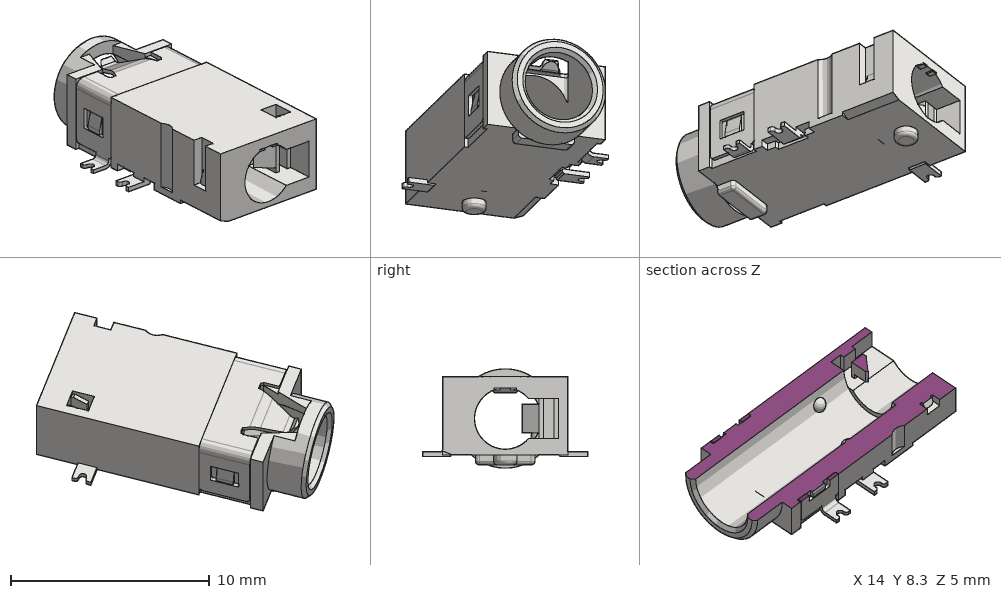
import cadquery as cq
import math


LENGTH = 13.97
WIDTH = 6.3
HALF_WIDTH = WIDTH / 2
TOP = 2.1
BOTTOM = -1.83
FLANGE_FRONT = 2.0
FLANGE_BACK = 2.67
NECK_END = 5.4

BARREL_RADIUS = 2.5
BARREL_CHAMFER = 0.2
BARREL_FLAT_START = 0.9
BORE_RADIUS = 1.8
BORE_END = 11.0
REAR_HOLE_RADIUS = 1.54

SHEET = 0.2
SHELL_FRONT = 2.71
SHELL_CORNER_RADIUS = 0.5
SHELL_SIDE_BOTTOM = -1.4
SHELL_SIDE_CHAMFER = 0.12

V_FRONT_HALF_WIDTH = 0.77
V_BACK_HALF_WIDTH = 1.72
V_BACK = 3.54
V_END = 3.67
V_END_FILLET = 0.12
TONGUE_NOSE = 1.14
TONGUE_NOSE_HALF_WIDTH = 0.42
TONGUE_SHOULDER = 1.4
TONGUE_BACK_HALF_WIDTH = 1.34
TONGUE_BEND = 3.34
TONGUE_BEND_MIDDLE = (3.085, 2.07)
TONGUE_SLOPE_TOP = (2.83, 1.98)
TONGUE_SLOPE_BOTTOM = (1.78, 1.54)
TONGUE_LOWEST = (1.63, 1.5)
TONGUE_CURL_START = (1.48, 1.54)
TONGUE_TIP_TOP = (1.28, 1.79)
TONGUE_TIP_BOTTOM_Z = 1.65
SHELL_NOTCH_HALF_WIDTH = 1.75

WINDOW_X = (3.3, 4.78)
WINDOW_Z = (-0.4, 0.71)
WINDOW_CORNER = 0.06
LATCH_X = (3.59, 4.49)
LATCH_Z = (-0.37, 0.66)
LATCH_EDGE_Z = -0.15
LATCH_HEIGHT = 0.17

LEAD_WIDTH = 1.0
LEAD_TIP = HALF_WIDTH + 1.0
LEAD_BOTTOM = -1.92
LEAD_TOP = -1.67
LEAD_ROOT = 2.7
LEAD_ROOT_CHAMFER = 0.08
LEAD_NOTCH_RADIUS = 0.2
LEAD_NOTCH_DEPTH = 0.42
LEAD_NOTCH_MOUTH = 0.15
SHELL_LEAD_X = 4.73
SIDE_LEAD_X = 7.48
REAR_LEAD_X = 11.28
SHELL_LEAD_BEND = 0.2

LEAD_SLOT_X = (5.91, 8.79)
LEAD_SLOT_TOP = -1.45
LEAD_SLOT_DEPTH = 0.45
LEAD_SLOT_INNER_X = (6.42, 8.24)
LEAD_SLOT_INNER_DEPTH = 0.7
LEAD_STUB_X = (7.18, 7.98)

GROOVE_X = (9.33, 10.22)
GROOVE_DEPTH = 0.17
GROOVE_BOTTOM = -1.45
SIDE_RECESS_X = (11.9, 12.79)
SIDE_RECESS_BOTTOM = -0.4
SIDE_RECESS_DEPTH = 0.51
SIDE_TIP_X = (12.02, 12.65)
SIDE_TIP_TOP = 0.36
SIDE_TIP_BOTTOM = -0.36
SIDE_TIP_HEIGHT = 0.22
SIDE_TIP_CORNER = 0.2
BEVEL_START = 10.84
BEVEL_HEIGHT = 0.19
BEVEL_WIDTH = 0.5

POCKET_HALF_HEIGHT = 1.0
POCKET_OUTER_Y = 2.67
TOP_WINDOW_X = (11.38, 12.53)
TOP_WINDOW_Y = (1.7, POCKET_OUTER_Y)
CONTACT_HALF_HEIGHT = 0.72
CONTACT_FRONT = 11.68
CONTACT_BACK = 12.53
CONTACT_PEAK_X = 12.4
CONTACT_FRONT_TOP = 1.6
CONTACT_PEAK_TOP = 1.9
CONTACT_BACK_TOP = 1.85
CONTACT_THICKNESS = 0.23
CONTACT_CREST_Y = 0.85
CONTACT_CREST_LENGTH = 0.1

DOME_RADIUS = 0.42
DOMES = ((SIDE_LEAD_X, -1.92, -0.37), (9.0, 1.71, -0.93))
REAR_END_X = 14.0
REAR_END_WIDTH = 0.31
REAR_END_HEIGHT = 0.1
REAR_END_Y = 0.41
REAR_END_Z = 1.49
REAR_END_DEPTH = 0.4

PEG_BOTTOM = -2.33
PEG_EDGE = 0.2
FRONT_PEG_FOOT_EDGE = 0.18
FRONT_PEG_END = 3.0
FRONT_PEG_WIDTH = 3.0
REAR_PEG_X = 12.54
REAR_PEG_RADIUS = 0.6


def block(x_range, y_range, z_range):
    """Axis-aligned block between pairs of X, Y and Z limits."""
    size = [high - low for low, high in (x_range, y_range, z_range)]
    corner = (x_range[0], y_range[0], z_range[0])
    return cq.Workplane("XY").box(*size, centered=False).translate(corner)


def rod(radius, start, end):
    """Cylinder about the plug axis."""
    return cq.Workplane("YZ").workplane(offset=start).circle(radius).extrude(end - start)


def wrapped_block(start, end, inset):
    """Block under the shell, rounded on its two upper long edges and set in from the envelope."""
    side = HALF_WIDTH - inset
    solid = block((start, end), (-side, side), (BOTTOM, TOP - inset))
    return solid.edges("|X and >Z").fillet(SHELL_CORNER_RADIUS - inset)


def v_opening(z_low, z_high):
    """Prism of the V that surrounds the spring tongue, with rounded rear corners."""
    v = (
        cq.Workplane("XY").workplane(offset=z_low)
        .moveTo(BARREL_FLAT_START, -V_FRONT_HALF_WIDTH)
        .lineTo(V_BACK, -V_BACK_HALF_WIDTH)
        .lineTo(V_END, -V_BACK_HALF_WIDTH)
        .lineTo(V_END, V_BACK_HALF_WIDTH)
        .lineTo(V_BACK, V_BACK_HALF_WIDTH)
        .lineTo(BARREL_FLAT_START, V_FRONT_HALF_WIDTH)
        .close()
        .extrude(z_high - z_low)
    )
    return v.edges("|Z and >X").fillet(V_END_FILLET)


def lead(x_center, root, bottom, top):
    """Flat lead along -Y with a round-mouthed notch in its tip."""
    strip = block(
        (x_center - LEAD_WIDTH / 2, x_center + LEAD_WIDTH / 2), (-LEAD_TIP, -root), (bottom, top)
    )
    notch_end = -LEAD_TIP + LEAD_NOTCH_DEPTH - LEAD_NOTCH_RADIUS
    notch = block(
        (x_center - LEAD_NOTCH_RADIUS, x_center + LEAD_NOTCH_RADIUS),
        (-LEAD_TIP, notch_end),
        (bottom, top),
    )
    round_end = (
        cq.Workplane("XY").workplane(offset=bottom)
        .center(x_center, notch_end).circle(LEAD_NOTCH_RADIUS).extrude(top - bottom)
    )
    strip = strip.cut(notch).cut(round_end)
    mouth = cq.selectors.BoxSelector(
        (x_center - 2 * LEAD_NOTCH_RADIUS, -LEAD_TIP - LEAD_NOTCH_RADIUS, bottom),
        (x_center + 2 * LEAD_NOTCH_RADIUS, -LEAD_TIP + LEAD_NOTCH_RADIUS, top),
    )
    return strip.edges("|Z").edges(mouth).fillet(LEAD_NOTCH_MOUTH)


def housing_shape():
    barrel = rod(BARREL_RADIUS, 0, FLANGE_FRONT).faces("<X").chamfer(BARREL_CHAMFER)
    barrel = barrel.cut(
        block((BARREL_FLAT_START, FLANGE_FRONT), (-HALF_WIDTH, HALF_WIDTH), (TOP, BARREL_RADIUS))
    )
    flange = block((FLANGE_FRONT, FLANGE_BACK), (-HALF_WIDTH, HALF_WIDTH), (BOTTOM, TOP))
    neck = wrapped_block(FLANGE_BACK, NECK_END, SHEET)
    rear = block((NECK_END, LENGTH), (-HALF_WIDTH, HALF_WIDTH), (BOTTOM, TOP))
    return barrel.union(flange).union(neck).union(rear)


def front_peg():
    peg = block(
        (FLANGE_FRONT, FRONT_PEG_END),
        (-FRONT_PEG_WIDTH / 2, FRONT_PEG_WIDTH / 2),
        (PEG_BOTTOM, BOTTOM),
    )
    peg = peg.edges("|Z and >X").fillet(PEG_EDGE)
    return peg.faces("<Z").edges("not <X").fillet(FRONT_PEG_FOOT_EDGE)


def rear_peg():
    peg = (
        cq.Workplane("XY").workplane(offset=PEG_BOTTOM)
        .center(REAR_PEG_X, 0).circle(REAR_PEG_RADIUS).extrude(BOTTOM - PEG_BOTTOM)
    )
    return peg.faces("<Z").edges().fillet(PEG_EDGE)


def bore():
    mouth = cq.Workplane("YZ").circle(BORE_RADIUS + BARREL_CHAMFER)
    mouth = mouth.workplane(offset=BARREL_CHAMFER).circle(BORE_RADIUS).loft()
    return rod(BORE_RADIUS, 0, BORE_END).union(mouth).union(rod(REAR_HOLE_RADIUS, 0, LENGTH))


def groove():
    """Shallow upright groove of circular section in the -Y wall."""
    chord = GROOVE_X[1] - GROOVE_X[0]
    radius = (chord**2 / 4 + GROOVE_DEPTH**2) / (2 * GROOVE_DEPTH)
    return (
        cq.Workplane("XY").workplane(offset=GROOVE_BOTTOM)
        .center(sum(GROOVE_X) / 2, -HALF_WIDTH + GROOVE_DEPTH - radius)
        .circle(radius).extrude(TOP - GROOVE_BOTTOM)
    )


def lead_slot():
    """Stepped notch over the side lead, leaving a stub that reaches down to the lead."""
    wall = -HALF_WIDTH
    slot = block(LEAD_SLOT_X, (wall, wall + LEAD_SLOT_DEPTH), (BOTTOM, LEAD_SLOT_TOP))
    inner_depth = (wall, wall + LEAD_SLOT_INNER_DEPTH)
    slot = slot.union(block(LEAD_SLOT_INNER_X, inner_depth, (BOTTOM, LEAD_SLOT_TOP)))
    return slot.cut(block(LEAD_STUB_X, inner_depth, (LEAD_TOP, LEAD_SLOT_TOP)))


def side_recess():
    return block(
        SIDE_RECESS_X, (-HALF_WIDTH, -HALF_WIDTH + SIDE_RECESS_DEPTH), (SIDE_RECESS_BOTTOM, TOP)
    )


def side_contact_tip():
    """Sloping contact tip on the back wall of the side recess."""
    wall = -HALF_WIDTH + SIDE_RECESS_DEPTH
    tip = (
        cq.Workplane("YZ").workplane(offset=SIDE_TIP_X[0])
        .moveTo(wall, SIDE_TIP_TOP)
        .lineTo(wall - SIDE_TIP_HEIGHT, SIDE_TIP_BOTTOM)
        .lineTo(wall, SIDE_TIP_BOTTOM)
        .close()
        .extrude(SIDE_TIP_X[1] - SIDE_TIP_X[0])
    )
    outline = block(SIDE_TIP_X, (wall - SIDE_TIP_HEIGHT, wall), (SIDE_TIP_BOTTOM, SIDE_TIP_TOP))
    return tip.intersect(outline.edges("|Y and <Z").fillet(SIDE_TIP_CORNER))


def bottom_bevel():
    """Bevel under the rear of the -Y wall."""
    return (
        cq.Workplane("YZ").workplane(offset=BEVEL_START)
        .moveTo(-HALF_WIDTH, BOTTOM + BEVEL_HEIGHT)
        .lineTo(-HALF_WIDTH, BOTTOM)
        .lineTo(-HALF_WIDTH + BEVEL_WIDTH, BOTTOM)
        .close()
        .extrude(LENGTH - BEVEL_START)
    )


def contact_pocket():
    """Rear pocket for the switch contact, open to the rear and to the top window."""
    pocket = block((BORE_END, LENGTH), (0, POCKET_OUTER_Y), (-POCKET_HALF_HEIGHT, POCKET_HALF_HEIGHT))
    return pocket.union(block(TOP_WINDOW_X, TOP_WINDOW_Y, (0, TOP)))


def contact_leg(y_low):
    """Upright leg of the switch contact, with its top sloping up toward the rear."""
    return (
        cq.Workplane("XZ").workplane(offset=-y_low - CONTACT_THICKNESS)
        .moveTo(CONTACT_FRONT, -POCKET_HALF_HEIGHT)
        .lineTo(CONTACT_FRONT, CONTACT_FRONT_TOP)
        .lineTo(CONTACT_PEAK_X, CONTACT_PEAK_TOP)
        .lineTo(CONTACT_BACK, CONTACT_BACK_TOP)
        .lineTo(CONTACT_BACK, -POCKET_HALF_HEIGHT)
        .close()
        .extrude(CONTACT_THICKNESS)
    )


def switch_contact():
    """Two legs standing on the pocket floor, and a wedge on the inner leg that reaches into the bore."""
    inner_y, outer_y = TOP_WINDOW_Y
    wedge = (
        cq.Workplane("XY").workplane(offset=-CONTACT_HALF_HEIGHT)
        .moveTo(CONTACT_BACK, inner_y)
        .lineTo(CONTACT_FRONT + CONTACT_CREST_LENGTH, CONTACT_CREST_Y)
        .lineTo(CONTACT_FRONT, CONTACT_CREST_Y + CONTACT_CREST_LENGTH)
        .lineTo(CONTACT_FRONT, inner_y)
        .close()
        .extrude(2 * CONTACT_HALF_HEIGHT)
    )
    legs = contact_leg(inner_y).union(contact_leg(outer_y - CONTACT_THICKNESS))
    return legs.union(wedge)


def side_window(inner, outer):
    """Rounded window block on the -Y side between two distances from the plug axis."""
    return block(WINDOW_X, (-outer, -inner), WINDOW_Z).edges("|Y").fillet(WINDOW_CORNER)


def latch():
    """Ramped catch on the -Y side of the neck that snaps into the shell window."""
    wall = -HALF_WIDTH + SHEET
    return (
        cq.Workplane("YZ").workplane(offset=LATCH_X[0])
        .moveTo(wall, LATCH_Z[1])
        .lineTo(wall - LATCH_HEIGHT, LATCH_EDGE_Z)
        .lineTo(wall - LATCH_HEIGHT, LATCH_Z[0])
        .lineTo(wall, LATCH_Z[0])
        .close()
        .extrude(LATCH_X[1] - LATCH_X[0])
    )


def make_housing():
    housing = housing_shape().union(front_peg()).union(rear_peg())
    housing = housing.cut(bore()).cut(v_opening(0, BARREL_RADIUS))
    for recess in (groove(), lead_slot(), side_recess(), bottom_bevel(), contact_pocket()):
        housing = housing.cut(recess)

    side_lead = lead(SIDE_LEAD_X, LEAD_ROOT, LEAD_BOTTOM, LEAD_TOP)
    rear_lead = lead(REAR_LEAD_X, LEAD_ROOT, LEAD_BOTTOM, LEAD_TOP).mirror("XZ")
    housing = housing.union(side_lead.faces(">Y").edges("<Z").chamfer(LEAD_ROOT_CHAMFER))
    housing = housing.union(rear_lead.faces("<Y").edges("<Z").chamfer(LEAD_ROOT_CHAMFER))
    housing = housing.union(side_contact_tip()).union(switch_contact())
    housing = housing.union(latch()).union(latch().mirror("XZ"))

    for dome in DOMES:
        housing = housing.union(cq.Workplane("XY").sphere(DOME_RADIUS).translate(dome))
    for y in (-REAR_END_Y, REAR_END_Y):
        housing = housing.union(
            block(
                (REAR_END_X - REAR_END_DEPTH, REAR_END_X),
                (y - REAR_END_WIDTH / 2, y + REAR_END_WIDTH / 2),
                (REAR_END_Z - REAR_END_HEIGHT / 2, REAR_END_Z + REAR_END_HEIGHT / 2),
            )
        )
    return housing


def tongue():
    """Spring tongue of the shell, bent down into the bore with its nose curled up."""
    slope_run = TONGUE_SLOPE_TOP[0] - TONGUE_SLOPE_BOTTOM[0]
    drop = SHEET * math.hypot(slope_run, TONGUE_SLOPE_TOP[1] - TONGUE_SLOPE_BOTTOM[1]) / slope_run

    def below(point):
        return point[0], point[1] - drop

    strip = (
        cq.Workplane("XZ").workplane(offset=-V_BACK_HALF_WIDTH)
        .moveTo(V_END, TOP)
        .lineTo(TONGUE_BEND, TOP)
        .threePointArc(TONGUE_BEND_MIDDLE, TONGUE_SLOPE_TOP)
        .lineTo(*TONGUE_SLOPE_BOTTOM)
        .threePointArc(TONGUE_LOWEST, TONGUE_CURL_START)
        .lineTo(*TONGUE_TIP_TOP)
        .lineTo(TONGUE_NOSE, TONGUE_TIP_BOTTOM_Z)
        .lineTo(*below(TONGUE_CURL_START))
        .threePointArc(below(TONGUE_LOWEST), below(TONGUE_SLOPE_BOTTOM))
        .lineTo(*below(TONGUE_SLOPE_TOP))
        .threePointArc((TONGUE_BEND_MIDDLE[0], TONGUE_BEND_MIDDLE[1] - SHEET), (TONGUE_BEND, TOP - SHEET))
        .lineTo(V_END, TOP - SHEET)
        .close()
        .extrude(2 * V_BACK_HALF_WIDTH)
    )
    outline = (
        cq.Workplane("XY")
        .moveTo(V_END, -TONGUE_BACK_HALF_WIDTH)
        .lineTo(TONGUE_SHOULDER, -TONGUE_NOSE_HALF_WIDTH)
        .threePointArc((TONGUE_NOSE, 0), (TONGUE_SHOULDER, TONGUE_NOSE_HALF_WIDTH))
        .lineTo(V_END, TONGUE_BACK_HALF_WIDTH)
        .close()
        .extrude(BARREL_RADIUS)
    )
    return strip.intersect(outline)


def shell_lead():
    """Lead of the shell with the bend that carries it down from the side plate."""
    bend_center_y = -HALF_WIDTH - SHELL_LEAD_BEND
    bend_center_z = LEAD_BOTTOM + SHEET + SHELL_LEAD_BEND
    half = math.sqrt(0.5)
    outer = SHELL_LEAD_BEND + SHEET
    bend = (
        cq.Workplane("YZ").workplane(offset=SHELL_LEAD_X - LEAD_WIDTH / 2)
        .moveTo(-HALF_WIDTH, SHELL_SIDE_BOTTOM)
        .lineTo(-HALF_WIDTH, bend_center_z)
        .threePointArc(
            (bend_center_y + SHELL_LEAD_BEND * half, bend_center_z - SHELL_LEAD_BEND * half),
            (bend_center_y, LEAD_BOTTOM + SHEET),
        )
        .lineTo(bend_center_y, LEAD_BOTTOM)
        .threePointArc(
            (bend_center_y + outer * half, bend_center_z - outer * half),
            (-HALF_WIDTH + SHEET, bend_center_z),
        )
        .lineTo(-HALF_WIDTH + SHEET, SHELL_SIDE_BOTTOM)
        .close()
        .extrude(LEAD_WIDTH)
    )
    flat = lead(SHELL_LEAD_X, -bend_center_y, LEAD_BOTTOM, LEAD_BOTTOM + SHEET)
    return bend.union(flat)


def make_shell():
    shell = wrapped_block(SHELL_FRONT, NECK_END, 0).cut(wrapped_block(SHELL_FRONT, NECK_END, SHEET))
    side_outline = block(
        (SHELL_FRONT, NECK_END), (-HALF_WIDTH, HALF_WIDTH), (SHELL_SIDE_BOTTOM, TOP)
    )
    shell = shell.intersect(side_outline.edges("|Y and <Z").chamfer(SHELL_SIDE_CHAMFER))

    window = side_window(HALF_WIDTH - SHEET, HALF_WIDTH)
    shell = shell.cut(window).cut(window.mirror("XZ"))
    front_notch = block(
        (SHELL_FRONT, V_BACK),
        (-SHELL_NOTCH_HALF_WIDTH, SHELL_NOTCH_HALF_WIDTH),
        (TOP - SHEET, TOP),
    )
    shell = shell.cut(front_notch).cut(v_opening(0, TOP))
    return shell.union(tongue()).union(shell_lead())


housing = make_housing()
shell = make_shell()

result = cq.Compound.makeCompound([housing.solids().val(), shell.solids().val()])